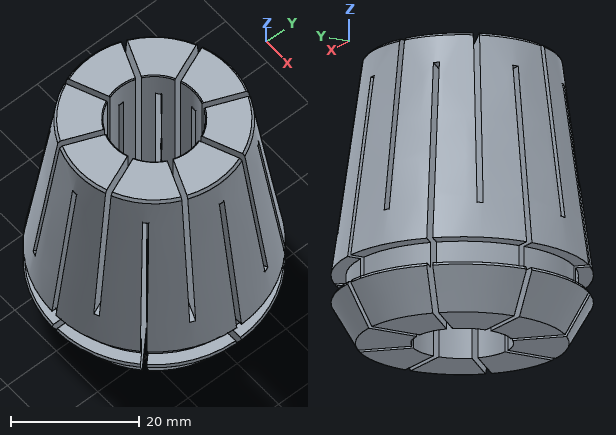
import cadquery as cq
import math

height = 46.0
max_diameter = 41.0
max_radius = max_diameter / 2
bore_diameter = 16.0

collar_top = 7.1
collar_rim = 6.62
collar_angle = 30.0
collar_edge_inset = 0.28

neck_radius = 18.12
taper_start = 11.1

taper_angle = 8.0
top_chamfer_drop = 0.45
top_face_radius = 15.23
bore_edge_chamfer = 0.2

slot_width = 0.95
slots_per_end = 8
lower_slot_top = 41.0
upper_slot_bottom = 17.0


def revolved_body():
    """Solid of revolution about Z, without the slots."""
    bore_radius = bore_diameter / 2
    base_radius = max_radius - collar_rim * math.tan(math.radians(collar_angle))
    chamfer_start = height - top_chamfer_drop
    taper_end_radius = max_radius - (chamfer_start - taper_start) * math.tan(math.radians(taper_angle))
    profile = [
        (bore_radius, 0),
        (base_radius, 0),
        (max_radius, collar_rim),
        (max_radius - collar_edge_inset, collar_top),
        (neck_radius, collar_top),
        (neck_radius, taper_start),
        (max_radius, taper_start),
        (taper_end_radius, chamfer_start),
        (top_face_radius, height),
        (bore_radius + bore_edge_chamfer, height),
        (bore_radius, height - bore_edge_chamfer),
    ]
    return cq.Workplane("XZ").polyline(profile).close().revolve(360, (0, 0), (0, 1))


def cut_radial_slots(body, bottom, top, first_angle):
    """Cut evenly spaced slots, each running from the bore out through the wall."""
    slot_length = max_radius + slot_width
    slot = (
        cq.Workplane("XY", origin=(slot_length / 2, 0, bottom))
        .box(slot_length, slot_width, top - bottom, centered=(True, True, False))
    )
    pitch = 360 / slots_per_end
    for i in range(slots_per_end):
        body = body.cut(slot.rotate((0, 0, 0), (0, 0, 1), first_angle + i * pitch))
    return body


half_pitch = 180 / slots_per_end

result = revolved_body()
result = cut_radial_slots(result, 0, lower_slot_top, 0)
result = cut_radial_slots(result, upper_slot_bottom, height, half_pitch)